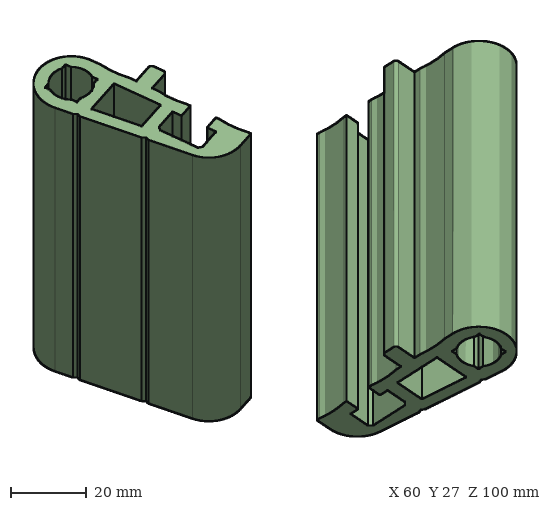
import cadquery as cq
import math

LENGTH = 100.0
BARREL_RADIUS = 10.0
RIGHT_FACE_X = 50.0
CORNER_RADIUS = 10.0
FRONT_ANGLE = math.radians(7.0)
FRONT_SLOPE = math.tan(FRONT_ANGLE)

POST_LEFT = 14.0
POST_WIDTH = 5.0
POST_HEIGHT = 7.0
POST_ROUND = 1.0

BORE_RADIUS = 6.0
BORE_SQUARE = 10.0

WINDOW_LEFT = 9.6
WINDOW_RIGHT = 24.2
WINDOW_TOP = 6.0
FRONT_WALL = 3.8

SLOT_CENTER_X = 35.0
SLOT_MOUTH = 8.0
SLOT_WIDTH = 13.6
SLOT_LIP = 4.4
SLOT_FLOOR_Y = -1.9
SLOT_CHAMFER = 0.9

GROOVE_CENTERS = (7.5, 27.4)
GROOVE_WIDTH = 2.0
GROOVE_DEPTH = 0.5

HOLLOW_CENTERS = (7.4, 25.3, 44.5)
HOLLOW_WIDTH = 9.0
HOLLOW_DEPTH = 0.4

CUT_MARGIN = 1.0


def front_y(x):
    """Y of the sloped front face, which is tangent to the barrel."""
    return x * FRONT_SLOPE - BARREL_RADIUS / math.cos(FRONT_ANGLE)


def extrude(outline):
    return outline.extrude(LENGTH)


def box(left, right, bottom, top):
    outline = cq.Workplane("XY").moveTo(left, bottom).lineTo(right, bottom)
    return extrude(outline.lineTo(right, top).lineTo(left, top).close())


def make_body():
    tangent_x = BARREL_RADIUS * math.sin(FRONT_ANGLE)
    corner_x = RIGHT_FACE_X - CORNER_RADIUS
    corner_start_x = corner_x + CORNER_RADIUS * math.sin(FRONT_ANGLE)
    corner_start_y = front_y(corner_start_x)
    corner_y = corner_start_y + CORNER_RADIUS * math.cos(FRONT_ANGLE)
    middle_angle = (FRONT_ANGLE - math.pi / 2) / 2
    corner_middle = (
        corner_x + CORNER_RADIUS * math.cos(middle_angle),
        corner_y + CORNER_RADIUS * math.sin(middle_angle),
    )
    return extrude(
        cq.Workplane("XY")
        .moveTo(tangent_x, front_y(tangent_x))
        .lineTo(corner_start_x, corner_start_y)
        .threePointArc(corner_middle, (RIGHT_FACE_X, corner_y))
        .lineTo(RIGHT_FACE_X, BARREL_RADIUS)
        .lineTo(0, BARREL_RADIUS)
        .threePointArc((-BARREL_RADIUS, 0), (tangent_x, front_y(tangent_x)))
        .close()
    )


def make_post():
    post = box(POST_LEFT, POST_LEFT + POST_WIDTH, WINDOW_TOP, BARREL_RADIUS + POST_HEIGHT)
    return post.edges("|Z and >Y").fillet(POST_ROUND)


def make_bore():
    """Round bore with the corners of a square broached through it."""
    half = BORE_SQUARE / 2
    return extrude(cq.Workplane("XY").circle(BORE_RADIUS)).union(box(-half, half, -half, half))


def make_window():
    offset = FRONT_WALL / math.cos(FRONT_ANGLE)
    return extrude(
        cq.Workplane("XY")
        .moveTo(WINDOW_LEFT, WINDOW_TOP)
        .lineTo(WINDOW_RIGHT, WINDOW_TOP)
        .lineTo(WINDOW_RIGHT, front_y(WINDOW_RIGHT) + offset)
        .lineTo(WINDOW_LEFT, front_y(WINDOW_LEFT) + offset)
        .close()
    )


def make_slot():
    lip_y = BARREL_RADIUS - SLOT_LIP
    half_width = SLOT_WIDTH / 2
    half_mouth = SLOT_MOUTH / 2
    cavity = box(SLOT_CENTER_X - half_width, SLOT_CENTER_X + half_width, SLOT_FLOOR_Y, lip_y)
    cavity = cavity.edges("|Z and <Y").chamfer(SLOT_CHAMFER)
    mouth = box(
        SLOT_CENTER_X - half_mouth,
        SLOT_CENTER_X + half_mouth,
        SLOT_FLOOR_Y,
        BARREL_RADIUS + CUT_MARGIN,
    )
    return cavity.union(mouth)


def make_groove(x):
    """Shallow V groove in the front face, with its tip at x."""
    left = x - GROOVE_WIDTH / 2
    right = x + GROOVE_WIDTH / 2
    return extrude(
        cq.Workplane("XY")
        .moveTo(left, front_y(left))
        .lineTo(x, front_y(x) + GROOVE_DEPTH)
        .lineTo(right, front_y(right))
        .lineTo(right, front_y(right) - CUT_MARGIN)
        .lineTo(left, front_y(left) - CUT_MARGIN)
        .close()
    )


def make_hollow(x):
    """Very shallow concave dip in the back face."""
    half = HOLLOW_WIDTH / 2
    return extrude(
        cq.Workplane("XY")
        .moveTo(x - half, BARREL_RADIUS)
        .threePointArc((x, BARREL_RADIUS - HOLLOW_DEPTH), (x + half, BARREL_RADIUS))
        .close()
    )


profile = make_body().cut(make_bore()).cut(make_window()).cut(make_slot())
for groove_x in GROOVE_CENTERS:
    profile = profile.cut(make_groove(groove_x))
for hollow_x in HOLLOW_CENTERS:
    profile = profile.cut(make_hollow(hollow_x))

result = profile.union(make_post())